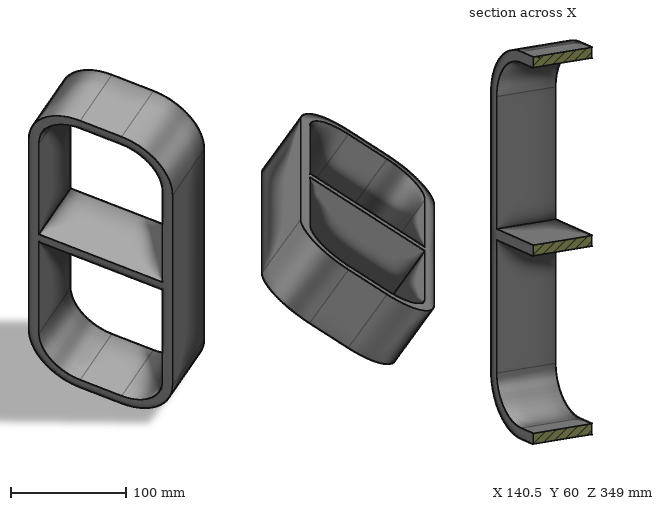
import cadquery as cq

width = 140.5
depth = 60.0
height = 349.0

wall = 10.0
divider_thickness = 10.0
outer_radius = 50.0
inner_radius = outer_radius - wall


def rounded_block(size_x, size_z, corner_radius):
    """Block of the full depth, with its four edges along Y rounded."""
    return cq.Workplane("XY").box(size_x, depth, size_z).edges("|Y").fillet(corner_radius)


def make_frame():
    """Rounded ring of constant wall thickness, open along Y."""
    inner_width = width - 2 * wall
    inner_height = height - 2 * wall
    outside = rounded_block(width, height, outer_radius)
    opening = rounded_block(inner_width, inner_height, inner_radius)
    return outside.cut(opening)


def make_divider():
    """Flat shelf at mid height, reaching into the middle of both side walls."""
    return cq.Workplane("XY").box(width - wall, depth, divider_thickness)


result = make_frame().union(make_divider())